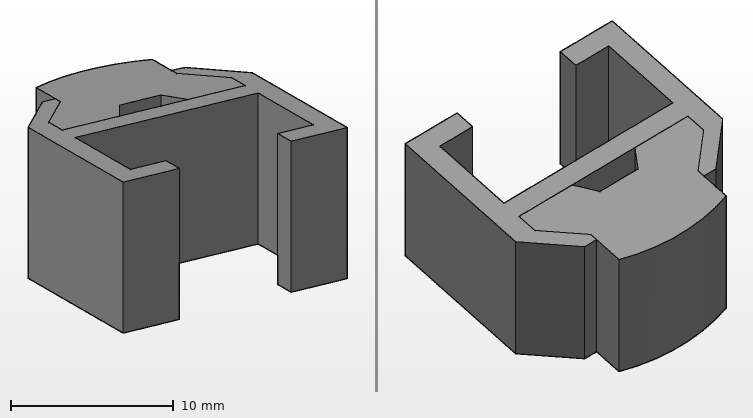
import cadquery as cq

height = 10.0
depth_x = 16.6
width_y = 16.4
wall = 1.51

channel_front_x = 2.89
corner_cut = 3.0
web_front_x = 7.42
web_thickness = 1.46
lip_tip_y = 4.08

mouth_half = 4.25
nose_sagitta = 0.71
notch_depth = 1.51
notch_floor_half = 1.51
notch_mouth_half = 2.49

half_width = width_y / 2
inner_half = half_width - wall
shoulder_x = channel_front_x + corner_cut
flare_start_x = shoulder_x - (inner_half - mouth_half)
web_back_x = web_front_x + web_thickness
lip_front_x = depth_x - wall


def mirrored_prism(upper_points):
    """Extrude the closed outline made of the points and their mirror image in Y."""
    lower_points = [(x, -y) for x, y in reversed(upper_points)]
    return cq.Workplane("XY").polyline(upper_points + lower_points).close().extrude(height)


def make_insert_blank():
    """Flared key with a curved nose, before the rear notch is cut."""
    return (
        cq.Workplane("XY")
        .moveTo(nose_sagitta, -mouth_half)
        .threePointArc((0, 0), (nose_sagitta, mouth_half))
        .lineTo(flare_start_x, mouth_half)
        .lineTo(shoulder_x, inner_half)
        .lineTo(web_front_x, inner_half)
        .lineTo(web_front_x, -inner_half)
        .lineTo(shoulder_x, -inner_half)
        .lineTo(flare_start_x, -mouth_half)
        .close()
        .extrude(height)
    )


def make_channel():
    """Channel with a front seat for the insert and a lipped slot at the back."""
    outer = mirrored_prism([
        (channel_front_x, half_width - corner_cut),
        (shoulder_x, half_width),
        (depth_x, half_width),
    ])
    rear_slot = mirrored_prism([
        (web_back_x, inner_half),
        (lip_front_x, inner_half),
        (lip_front_x, lip_tip_y),
        (depth_x, lip_tip_y),
    ])
    return outer.cut(rear_slot).cut(make_insert_blank())


def make_insert():
    """Insert with a tapered notch against the channel web."""
    notch = mirrored_prism([
        (web_front_x - notch_depth, notch_floor_half),
        (web_front_x, notch_mouth_half),
    ])
    return make_insert_blank().cut(notch)


channel = make_channel()
insert = make_insert()

result = cq.Compound.makeCompound([channel.val(), insert.val()])